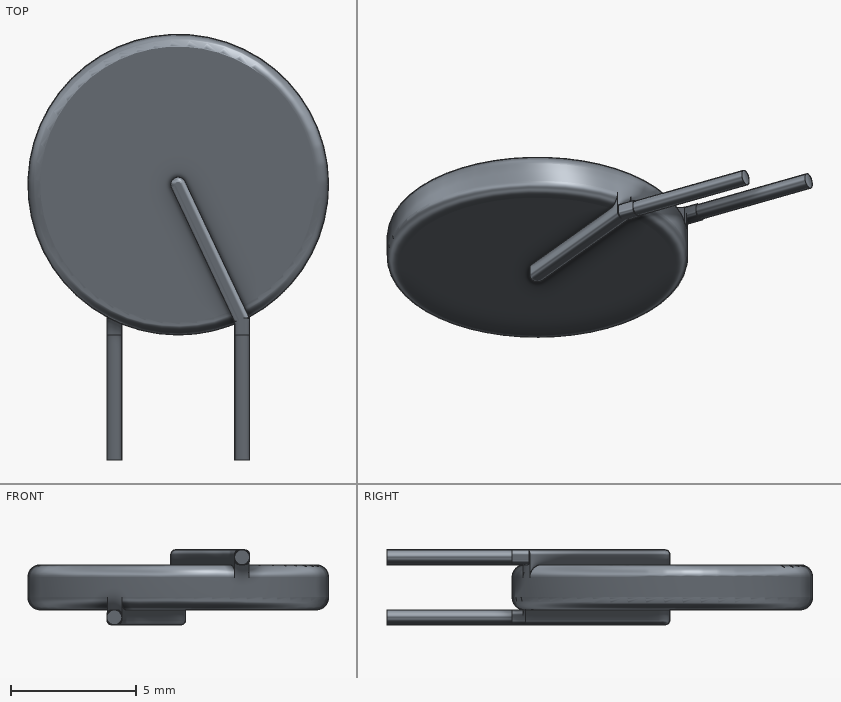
import math

import cadquery as cq

DISC_RADIUS = 6.0
DISC_THICKNESS = 1.8
DISC_EDGE_FILLET = 0.5

LEAD_DIAMETER = 0.6
LEAD_OFFSET_X = 2.55
LEAD_END_Y = -11.0

STRIP_WIDTH = 0.6
STRIP_FILLET = 0.2
BEND_Y = -5.4

disc_half = DISC_THICKNESS / 2
rim_z = disc_half - DISC_EDGE_FILLET
strip_top_z = disc_half + LEAD_DIAMETER
lead_z = disc_half + LEAD_DIAMETER / 2
strip_half = STRIP_WIDTH / 2
sleeve_end_y = -DISC_RADIUS

slant = math.atan2(LEAD_OFFSET_X, -BEND_Y)
miter_rise = strip_half * math.tan(slant / 2)
side_x = strip_half * math.cos(slant)
side_y = strip_half * math.sin(slant)

outer_x = LEAD_OFFSET_X + strip_half
inner_x = LEAD_OFFSET_X - strip_half
outer_bend = (outer_x, BEND_Y + miter_rise)
inner_bend = (inner_x, BEND_Y - miter_rise)


def make_disc():
    """Round body with both rims filleted."""
    disc = cq.Workplane("XY").cylinder(DISC_THICKNESS, DISC_RADIUS)
    return disc.edges("%CIRCLE").fillet(DISC_EDGE_FILLET)


def make_strip():
    """Slanted strip with a round inner end, filled down to the rim inside the disc outline."""
    strip = (
        cq.Workplane("XY", origin=(0, 0, rim_z))
        .moveTo(side_x, side_y)
        .lineTo(*outer_bend)
        .lineTo(outer_x, sleeve_end_y)
        .lineTo(inner_x, sleeve_end_y)
        .lineTo(*inner_bend)
        .lineTo(-side_x, -side_y)
        .threePointArc((-side_y, side_x), (side_x, side_y))
        .close()
        .extrude(strip_top_z - rim_z)
    )
    end_edge = cq.selectors.NearestToPointSelector((LEAD_OFFSET_X, sleeve_end_y, strip_top_z))
    top_edges = cq.selectors.StringSyntaxSelector(">Z")
    strip = strip.edges(top_edges - end_edge).fillet(STRIP_FILLET)
    disc_column = cq.Workplane("XY").circle(DISC_RADIUS).extrude(strip_top_z)
    return strip.intersect(disc_column)


def make_sleeve():
    """Short rounded-square sleeve between the bend and the bare wire."""
    sleeve_start_y = outer_bend[1]
    return (
        cq.Workplane("XZ", origin=(LEAD_OFFSET_X, sleeve_start_y, lead_z))
        .rect(STRIP_WIDTH, LEAD_DIAMETER)
        .extrude(sleeve_start_y - sleeve_end_y)
        .edges("|Y")
        .fillet(STRIP_FILLET)
    )


def make_wire():
    """Bare round wire beyond the sleeve."""
    return (
        cq.Workplane("XZ", origin=(LEAD_OFFSET_X, sleeve_end_y, lead_z))
        .circle(LEAD_DIAMETER / 2)
        .extrude(sleeve_end_y - LEAD_END_Y)
    )


upper_lead = make_strip().union(make_sleeve()).union(make_wire())
lower_lead = upper_lead.rotate((0, 0, 0), (0, 1, 0), 180)

result = make_disc().union(upper_lead).union(lower_lead)